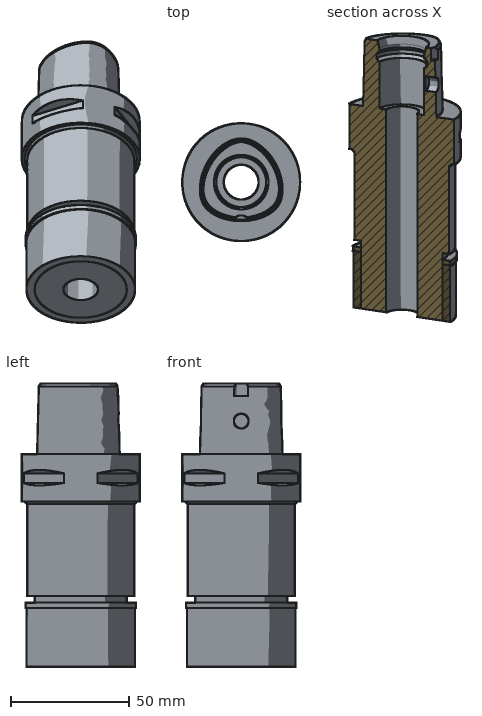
import cadquery as cq
import math

TOTAL_HEIGHT = 120.0

SHANK_BASE_Z = 90.0
SHANK_BASE_RADIUS = 17.5
SHANK_TOP_RADIUS = 16.8
LOBE_HEIGHT = 1.0
LOBE_COUNT = 3
OUTLINE_POINTS = 72
TOP_CHAMFER_HEIGHT = 1.5
TOP_CHAMFER_WIDTH = 0.8

FLANGE_RADIUS = 25.0
FLANGE_BOTTOM_Z = 70.0
COLLAR_RADIUS = 23.8
BODY_RADIUS = 22.7
COLLAR_HEIGHT = COLLAR_RADIUS - BODY_RADIUS
BODY_BOTTOM_Z = 30.0
NECK_RADIUS = 19.5

SLOT_COUNT = 4
SLOT_FLOOR_DISTANCE = 22.0
SLOT_FLOOR_TOP_Z = 81.8
SLOT_FLOOR_BOTTOM_Z = 77.9
SLOT_UPPER_FLARE = 1.5
SLOT_LOWER_FLARE = 1.1

THROUGH_RADIUS = 7.3
BORE_RADIUS = 10.5
BORE_FLOOR_Z = SHANK_BASE_Z
MOUTH_RADIUS = 11.5
MOUTH_DEPTH = 3.4
GROOVE_RADIUS = 12.0
GROOVE_FLANK = GROOVE_RADIUS - BORE_RADIUS
GROOVE_BOTTOM_Z = 110.5
GROOVE_WALL_HEIGHT = 1.8

NOTCH_RADIUS = 3.5
NOTCH_CENTRE_DISTANCE = 17.5
NOTCH_DEPTH = 5.3
SIDE_HOLE_RADIUS = 3.1
SIDE_HOLE_Z = 104.0
SIDE_HOLE_FLOOR_DISTANCE = 11.4

RING_RADIUS = 23.4
RING_TOP_Z = 27.2
NUT_RADIUS = 23.0
NUT_TOP_Z = 25.0


def lobed_wire(mean_radius, z):
    """Constant-width lobed outline, one lobe towards +Y, as a closed smooth curve."""
    points = []
    for i in range(OUTLINE_POINTS):
        turn = 2 * math.pi * i / OUTLINE_POINTS + math.pi
        support = mean_radius + LOBE_HEIGHT * math.cos(LOBE_COUNT * turn)
        slope = -LOBE_COUNT * LOBE_HEIGHT * math.sin(LOBE_COUNT * turn)
        along = support * math.cos(turn) - slope * math.sin(turn)
        across = support * math.sin(turn) + slope * math.cos(turn)
        points.append(cq.Vector(-across, along, z))
    return cq.Wire.assembleEdges([cq.Edge.makeSpline(points, periodic=True)])


def make_shank():
    """Tapered lobed shank with a chamfer around its top face."""
    chamfer_z = TOTAL_HEIGHT - TOP_CHAMFER_HEIGHT
    base = lobed_wire(SHANK_BASE_RADIUS, SHANK_BASE_Z)
    shoulder = lobed_wire(SHANK_TOP_RADIUS, chamfer_z)
    top = lobed_wire(SHANK_TOP_RADIUS - TOP_CHAMFER_WIDTH, TOTAL_HEIGHT)
    taper = cq.Solid.makeLoft([base, shoulder], True)
    chamfer = cq.Solid.makeLoft([shoulder, top], True)
    return cq.Workplane(taper).union(cq.Workplane(chamfer))


def make_turned_body():
    """Flange, cone under the flange, cylindrical body and the neck down to the base."""
    profile = [
        (0, 0),
        (NECK_RADIUS, 0),
        (NECK_RADIUS, BODY_BOTTOM_Z),
        (BODY_RADIUS, BODY_BOTTOM_Z),
        (BODY_RADIUS, FLANGE_BOTTOM_Z - COLLAR_HEIGHT),
        (COLLAR_RADIUS, FLANGE_BOTTOM_Z),
        (FLANGE_RADIUS, FLANGE_BOTTOM_Z),
        (FLANGE_RADIUS, SHANK_BASE_Z),
        (0, SHANK_BASE_Z),
    ]
    return cq.Workplane("XZ").polyline(profile).close().revolve(360, (0, 0), (0, 1))


def make_bore():
    """Through hole, wider upper bore, 45 degree groove and conical mouth."""
    wall_bottom_z = GROOVE_BOTTOM_Z + GROOVE_FLANK
    wall_top_z = wall_bottom_z + GROOVE_WALL_HEIGHT
    profile = [
        (0, 0),
        (THROUGH_RADIUS, 0),
        (THROUGH_RADIUS, BORE_FLOOR_Z),
        (BORE_RADIUS, BORE_FLOOR_Z),
        (BORE_RADIUS, GROOVE_BOTTOM_Z),
        (GROOVE_RADIUS, wall_bottom_z),
        (GROOVE_RADIUS, wall_top_z),
        (BORE_RADIUS, wall_top_z + GROOVE_FLANK),
        (BORE_RADIUS, TOTAL_HEIGHT - MOUTH_DEPTH),
        (MOUTH_RADIUS, TOTAL_HEIGHT),
        (0, TOTAL_HEIGHT),
    ]
    return cq.Workplane("XZ").polyline(profile).close().revolve(360, (0, 0), (0, 1))


def make_gripper_slot(angle):
    """Straight slot with flaring flanks, cut across the flange at the given angle."""
    profile = [
        (SLOT_FLOOR_DISTANCE, SLOT_FLOOR_BOTTOM_Z),
        (FLANGE_RADIUS, SLOT_FLOOR_BOTTOM_Z - SLOT_LOWER_FLARE),
        (FLANGE_RADIUS, SLOT_FLOOR_TOP_Z + SLOT_UPPER_FLARE),
        (SLOT_FLOOR_DISTANCE, SLOT_FLOOR_TOP_Z),
    ]
    slot = cq.Workplane("XZ").polyline(profile).close().extrude(FLANGE_RADIUS, both=True)
    return slot.rotate((0, 0, 0), (0, 0, 1), angle)


def make_key_notch():
    """Round-backed notch in the top edge of the shank."""
    return (
        cq.Workplane("XY", origin=(0, -NOTCH_CENTRE_DISTANCE, TOTAL_HEIGHT))
        .circle(NOTCH_RADIUS)
        .extrude(-NOTCH_DEPTH)
    )


def make_side_hole():
    """Flat-bottomed radial hole in the shank."""
    return (
        cq.Workplane("XZ", origin=(0, -SIDE_HOLE_FLOOR_DISTANCE, SIDE_HOLE_Z))
        .circle(SIDE_HOLE_RADIUS)
        .extrude(FLANGE_RADIUS - SIDE_HOLE_FLOOR_DISTANCE)
    )


def make_holder():
    """Tool holder: shank, flange, body and neck in one piece."""
    holder = make_turned_body().union(make_shank())
    holder = holder.cut(make_bore())
    slot_step = 360 / SLOT_COUNT
    for i in range(SLOT_COUNT):
        holder = holder.cut(make_gripper_slot((i + 0.5) * slot_step))
    return holder.cut(make_key_notch()).cut(make_side_hole()).solids()


def make_sleeve(outer_radius, bottom_z, top_z):
    """Plain sleeve fitting closely around the neck."""
    return (
        cq.Workplane("XY", origin=(0, 0, bottom_z))
        .circle(outer_radius)
        .circle(NECK_RADIUS)
        .extrude(top_z - bottom_z)
    )


holder = make_holder()
ring = make_sleeve(RING_RADIUS, NUT_TOP_Z, RING_TOP_Z)
nut = make_sleeve(NUT_RADIUS, 0, NUT_TOP_Z)

result = cq.Compound.makeCompound([holder.val(), ring.val(), nut.val()])